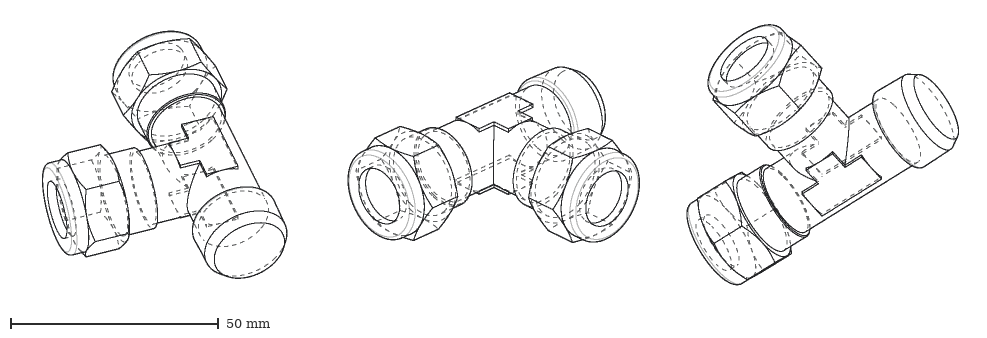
import cadquery as cq
import math

total_length = 67.0
run_nut_reach = 38.5
run_plain_reach = total_length - run_nut_reach
branch_reach = 39.0
tube_radius = 9.0

flat_half_width = 4.0

sleeve_radius = 10.05
sleeve_start = 16.9
sleeve_chamfer = 0.3

nut_across_flats = 23.0
nut_corner_radius = nut_across_flats / math.sqrt(3)
nut_hex_length = 10.45
nut_chamfer_angle = math.radians(30)
nut_chamfer_depth = (nut_corner_radius - nut_across_flats / 2) * math.tan(nut_chamfer_angle)
collar_radius = 11.45
collar_length = 4.0
collar_fillet = 1.0
bore_radius = 7.1
bore_depth = 2.3

cap_start = 17.0
cap_inner_radius = 10.7
cap_outer_radius = 10.5
cap_taper_start = 25.9
cap_fillet = 0.7


def cylinder_x(radius, start, end):
    """Solid cylinder on the X axis between two X positions."""
    return cq.Workplane("YZ", origin=(start, 0, 0)).circle(radius).extrude(end - start)


def hex_nut(start):
    """Hex prism with flats facing +Z and -Z, its corners chamfered at both ends."""
    end = start + nut_hex_length
    prism = (
        cq.Workplane("YZ", origin=(start, 0, 0))
        .polygon(6, 2 * nut_corner_radius)
        .extrude(nut_hex_length)
    )
    chamfer_envelope = (
        cq.Workplane("XY")
        .moveTo(start, 0)
        .lineTo(start, nut_across_flats / 2)
        .lineTo(start + nut_chamfer_depth, nut_corner_radius)
        .lineTo(end - nut_chamfer_depth, nut_corner_radius)
        .lineTo(end, nut_across_flats / 2)
        .lineTo(end, 0)
        .close()
        .revolve(360, (0, 0, 0), (1, 0, 0))
    )
    return prism.intersect(chamfer_envelope)


def nut_port(reach, inner_chamfer=0):
    """Tube, sleeve and nut along +X, ending in a shallow blind bore."""
    collar_start = reach - collar_length
    hex_start = collar_start - nut_hex_length
    sleeve = cylinder_x(sleeve_radius, sleeve_start, collar_start)
    if inner_chamfer > 0:
        sleeve = sleeve.faces("<X").chamfer(inner_chamfer)
    collar = cylinder_x(collar_radius, collar_start, reach).faces(">X").edges().fillet(collar_fillet)
    bore = cylinder_x(bore_radius, reach - bore_depth, reach)
    tube = cylinder_x(tube_radius, 0, collar_start)
    return tube.union(sleeve).union(hex_nut(hex_start)).union(collar).cut(bore)


def plain_port():
    """Tube along +X with a slightly conical cap that tapers to the tube radius."""
    cap = (
        cq.Workplane("XY")
        .moveTo(cap_start, 0)
        .lineTo(cap_start, cap_inner_radius - cap_fillet)
        .radiusArc((cap_start + cap_fillet, cap_inner_radius), cap_fillet)
        .lineTo(cap_taper_start, cap_outer_radius)
        .lineTo(run_plain_reach, tube_radius)
        .lineTo(run_plain_reach, 0)
        .close()
        .revolve(360, (0, 0, 0), (1, 0, 0))
    )
    return cylinder_x(tube_radius, 0, run_plain_reach).union(cap)


def body_flats():
    """T-shaped block whose top and bottom faces are tangent to the tubes."""
    height = 2 * tube_radius
    run_bar = cq.Workplane("XY").box(2 * tube_radius, 2 * flat_half_width, height)
    branch_bar = (
        cq.Workplane("XY")
        .box(2 * flat_half_width, tube_radius, height)
        .translate((0, -tube_radius / 2, 0))
    )
    return run_bar.union(branch_bar)


run_nut_port = nut_port(run_nut_reach, sleeve_chamfer).rotate((0, 0, 0), (0, 0, 1), 180)
branch_port = nut_port(branch_reach).rotate((0, 0, 0), (0, 0, 1), -90)

result = plain_port().union(run_nut_port).union(branch_port).union(body_flats())